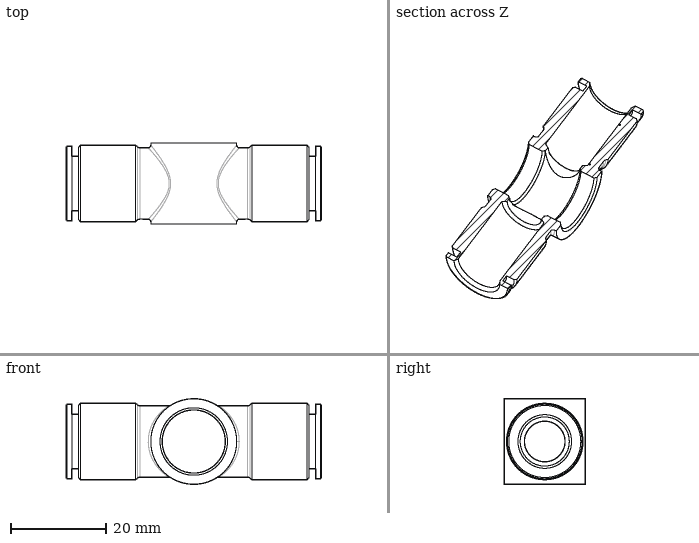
import cadquery as cq

length = 53.6
hub_width = 17.0
hub_diameter = 18.0

hub_bore_diameter = 13.2
hub_bore_chamfer = 0.5
hub_land_length = 3.2
hub_relief_depth = 0.5

branch_radius = 7.5
body_radius = 8.05
neck_radius = 5.75
flange_radius = 7.8
flange_thickness = 1.25
flange_chamfer = 0.25
body_start = 2.6
body_chamfer = 0.45
body_end = 15.0
body_end_chamfer = 0.4
shoulder_cove_length = 0.55
blend_radius = 0.55

mouth_radius = 5.65
socket_radius = 5.15
mouth_depth = 0.9
passage_start = 18.7
passage_radius = 4.25
socket_bottom_length = 0.55

half_length = length / 2


def disc(radius, start, end):
    """Cylinder on the X axis at the negative end, between two inward distances."""
    return (
        cq.Workplane("YZ", origin=(start - half_length, 0, 0))
        .circle(radius)
        .extrude(end - start)
    )


def make_core():
    """Crosswise hub blended into the two straight branches."""
    hub = cq.Workplane("XZ").circle(hub_diameter / 2).extrude(hub_width / 2, both=True)
    core = hub.union(disc(branch_radius, body_end, length - body_end))
    seams = core.edges("not(%CIRCLE or %LINE)")
    return seams.fillet(blend_radius)


def make_collar():
    """Socket body, neck and release flange at the negative end."""
    shoulder_radius = body_radius - body_end_chamfer
    shoulder_end = body_end + shoulder_cove_length
    cove_drop = shoulder_radius - branch_radius
    cove_radius = (shoulder_cove_length**2 + cove_drop**2) / (2 * cove_drop)
    profile = (
        cq.Workplane("XY", origin=(-half_length, 0, 0))
        .lineTo(0, flange_radius - flange_chamfer)
        .lineTo(flange_chamfer, flange_radius)
        .lineTo(flange_thickness, flange_radius)
        .lineTo(flange_thickness, neck_radius)
        .lineTo(body_start, neck_radius)
        .lineTo(body_start, body_radius - body_chamfer)
        .lineTo(body_start + body_chamfer, body_radius)
        .lineTo(body_end - body_end_chamfer, body_radius)
        .lineTo(body_end, shoulder_radius)
        .radiusArc((shoulder_end, branch_radius), -cove_radius)
        .lineTo(shoulder_end, 0)
        .close()
    )
    return profile.revolve(360, (0, 0, 0), (1, 0, 0))


def make_socket():
    """Stepped tube socket with a tapered mouth and a conical bottom, at the negative end."""
    socket_end = passage_start - socket_bottom_length
    profile = (
        cq.Workplane("XY", origin=(-half_length, 0, 0))
        .lineTo(0, mouth_radius)
        .lineTo(mouth_depth, socket_radius)
        .lineTo(socket_end, socket_radius)
        .lineTo(passage_start, passage_radius)
        .lineTo(passage_start, 0)
        .close()
    )
    return profile.revolve(360, (0, 0, 0), (1, 0, 0))


def make_hub_bore():
    """Through bore along Y chamfered at each mouth and relieved between its two lands."""
    bore_radius = hub_bore_diameter / 2
    relief_radius = bore_radius + hub_relief_depth
    mouth = hub_width / 2
    land_start = mouth - hub_bore_chamfer
    land_end = land_start - hub_land_length
    relief_start = land_end - hub_relief_depth
    profile = (
        cq.Workplane("XY")
        .moveTo(0, -mouth)
        .lineTo(bore_radius + hub_bore_chamfer, -mouth)
        .lineTo(bore_radius, -land_start)
        .lineTo(bore_radius, -land_end)
        .lineTo(relief_radius, -relief_start)
        .lineTo(relief_radius, relief_start)
        .lineTo(bore_radius, land_end)
        .lineTo(bore_radius, land_start)
        .lineTo(bore_radius + hub_bore_chamfer, mouth)
        .lineTo(0, mouth)
        .close()
    )
    return profile.revolve(360, (0, 0, 0), (0, 1, 0))


collar = make_collar()
socket = make_socket()
result = make_core().union(collar).union(collar.mirror("YZ"))
result = result.cut(socket).cut(socket.mirror("YZ"))
result = result.cut(disc(passage_radius, 0, length))
result = result.cut(make_hub_bore())